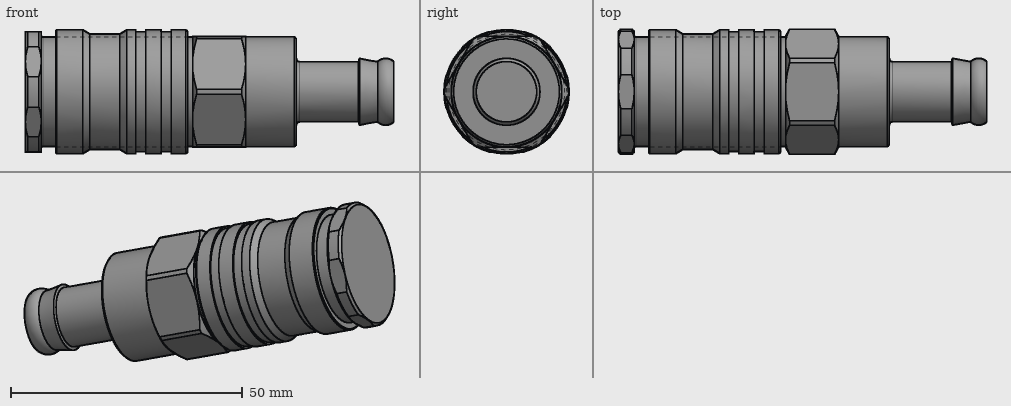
import cadquery as cq

TOTAL_LENGTH = 79.65
CORNER_DIAMETER = 27.1

CAP_LENGTH = 3.5
CAP_ACROSS_FLATS = 26.05
CAP_CHAMFER = 0.55

NECK_DIAMETER = 23.7
COLLAR_DIAMETER = 23.8
COLLAR_END = 58.6
COLLAR_CHAMFER = 0.5
CAP_FILLET = 0.2

WRENCH_START = 36.15
WRENCH_END = 47.6
WRENCH_ACROSS_FLATS = 24.0
WRENCH_CHAMFER_LENGTH = 0.9

TAIL_DIAMETER = 13.1
TAIL_FILLET = 0.6
BARB_START = 72.0
BARB_RISE_LENGTH = 0.2
BARB_DIAMETER = 14.5
BEAD_START = 76.1
BEAD_DIAMETER = 14.5

SLEEVE_START = 6.6
SLEEVE_END = 35.1
SLEEVE_DIAMETER = 26.8
SLEEVE_FRONT_CHAMFER = 0.2
SLEEVE_BACK_CHAMFER = 0.4
WAIST_DIAMETER = 25.0
WAIST_START = 13.9
WAIST_END = 20.5
WAIST_SLOPE_LENGTH = 1.5
GROOVE_DIAMETER = 26.0
GROOVE_WIDTH = 2.15
GROOVE_STARTS = (23.9, 29.4)


def revolve_about_x(outline):
    """Turn a closed XY outline a full circle about the X axis."""
    return outline.close().revolve(360, (0, 0, 0), (1, 0, 0))


def turned_cylinder(start, end, diameter):
    return cq.Workplane("YZ").workplane(offset=start).circle(diameter / 2).extrude(end - start)


def chamfered_hexagon(start, end, across_flats, chamfer_length, end_diameter):
    """Hexagon with flats facing +Z and -Z, its corners turned round and its ends coned."""
    corner_radius = CORNER_DIAMETER / 2
    end_radius = end_diameter / 2
    hexagon = (
        cq.Workplane("YZ")
        .workplane(offset=start)
        .polygon(6, across_flats, circumscribed=True)
        .extrude(end - start)
        .rotate((0, 0, 0), (1, 0, 0), 90)
    )
    envelope = revolve_about_x(
        cq.Workplane("XY")
        .moveTo(start, 0)
        .lineTo(start, end_radius)
        .lineTo(start + chamfer_length, corner_radius)
        .lineTo(end - chamfer_length, corner_radius)
        .lineTo(end, end_radius)
        .lineTo(end, 0)
    )
    return hexagon.intersect(envelope)


def make_turned_body():
    """Round profile of the connector body, from inside the cap to the tip of the hose tail."""
    neck_radius = NECK_DIAMETER / 2
    collar_radius = COLLAR_DIAMETER / 2
    tail_radius = TAIL_DIAMETER / 2
    bead_radius = BEAD_DIAMETER / 2
    return revolve_about_x(
        cq.Workplane("XY")
        .moveTo(0, 0)
        .lineTo(0, neck_radius)
        .lineTo(WRENCH_START, neck_radius)
        .lineTo(WRENCH_START, collar_radius)
        .lineTo(COLLAR_END - COLLAR_CHAMFER, collar_radius)
        .lineTo(COLLAR_END, collar_radius - COLLAR_CHAMFER)
        .lineTo(COLLAR_END, tail_radius + TAIL_FILLET)
        .radiusArc((COLLAR_END + TAIL_FILLET, tail_radius), -TAIL_FILLET)
        .lineTo(BARB_START, tail_radius)
        .lineTo(BARB_START + BARB_RISE_LENGTH, BARB_DIAMETER / 2)
        .lineTo(BEAD_START, tail_radius)
        .threePointArc(((BEAD_START + TOTAL_LENGTH) / 2, bead_radius), (TOTAL_LENGTH, tail_radius))
        .lineTo(TOTAL_LENGTH, 0)
    )


def make_cap_fillet():
    """Small concave fillet where the body leaves the cap."""
    neck_radius = NECK_DIAMETER / 2
    return revolve_about_x(
        cq.Workplane("XY")
        .moveTo(CAP_LENGTH, 0)
        .lineTo(CAP_LENGTH, neck_radius + CAP_FILLET)
        .radiusArc((CAP_LENGTH + CAP_FILLET, neck_radius), -CAP_FILLET)
        .lineTo(CAP_LENGTH + CAP_FILLET, 0)
    )


def make_connector_body():
    """Body, hexagonal cap, wrench section and hose tail as one solid."""
    cap = chamfered_hexagon(
        0, CAP_LENGTH, CAP_ACROSS_FLATS, CAP_CHAMFER, CORNER_DIAMETER - 2 * CAP_CHAMFER
    )
    wrench_section = chamfered_hexagon(
        WRENCH_START, WRENCH_END, WRENCH_ACROSS_FLATS, WRENCH_CHAMFER_LENGTH, WRENCH_ACROSS_FLATS
    )
    return make_turned_body().union(cap).union(make_cap_fillet()).union(wrench_section)


def make_sleeve():
    """Ring with a coned waist and two shallow grooves, sliding on the body."""
    sleeve_radius = SLEEVE_DIAMETER / 2
    waist_radius = WAIST_DIAMETER / 2
    sleeve = revolve_about_x(
        cq.Workplane("XY")
        .moveTo(SLEEVE_START, NECK_DIAMETER / 2)
        .lineTo(SLEEVE_START, sleeve_radius - SLEEVE_FRONT_CHAMFER)
        .lineTo(SLEEVE_START + SLEEVE_FRONT_CHAMFER, sleeve_radius)
        .lineTo(WAIST_START - WAIST_SLOPE_LENGTH, sleeve_radius)
        .lineTo(WAIST_START, waist_radius)
        .lineTo(WAIST_END, waist_radius)
        .lineTo(WAIST_END + WAIST_SLOPE_LENGTH, sleeve_radius)
        .lineTo(SLEEVE_END - SLEEVE_BACK_CHAMFER, sleeve_radius)
        .lineTo(SLEEVE_END, sleeve_radius - SLEEVE_BACK_CHAMFER)
        .lineTo(SLEEVE_END, NECK_DIAMETER / 2)
    )
    for start in GROOVE_STARTS:
        end = start + GROOVE_WIDTH
        groove = turned_cylinder(start, end, CORNER_DIAMETER).cut(
            turned_cylinder(start, end, GROOVE_DIAMETER)
        )
        sleeve = sleeve.cut(groove)
    return sleeve


connector_body = make_connector_body()
sleeve = make_sleeve()

result = cq.Compound.makeCompound([connector_body.solids().val(), sleeve.solids().val()])